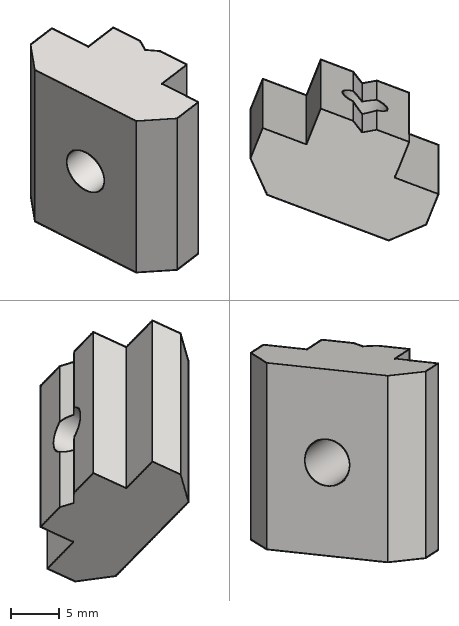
import cadquery as cq

length = 20.0
base_width = 19.5
depth = 10.6
stem_width = 9.8
stem_height = 4.1
chamfer = 3.0
groove_width = 2.65
groove_depth = 0.82
hole_diameter = 5.0

shoulder_y = depth - stem_height
half_base = base_width / 2
half_stem = stem_width / 2
half_groove = groove_width / 2

right_half = [
    (half_base - chamfer, 0),
    (half_base, chamfer),
    (half_base, shoulder_y),
    (half_stem, shoulder_y),
    (half_stem, depth),
    (half_groove, depth),
]
left_half = [(-x, y) for x, y in reversed(right_half)]
groove_bottom = (0, depth - groove_depth)
section = right_half + [groove_bottom] + left_half

body = cq.Workplane("XY").polyline(section).close().extrude(length / 2, both=True)

hole = cq.Workplane("XZ").circle(hole_diameter / 2).extrude(-depth)

result = body.cut(hole)